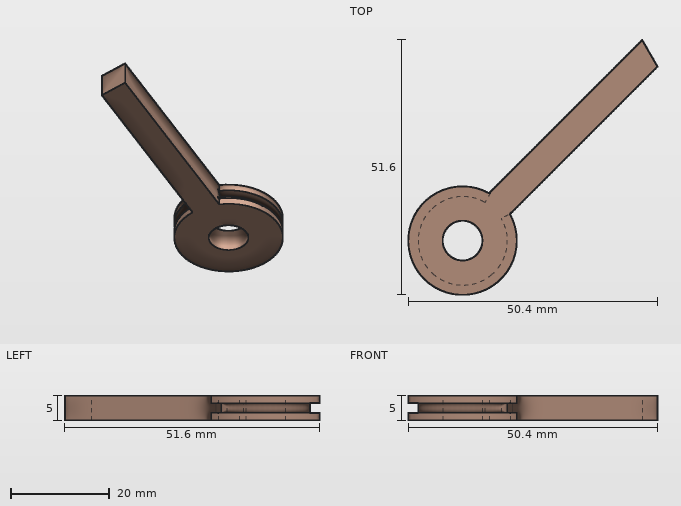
import cadquery as cq
import math

thickness = 5.0
hub_radius = 11.0
bore_diameter = 8.0

groove_width = 2.0
groove_floor_radius = 9.0
groove_outer_radius = 12.0
groove_gap_angle = 30.0

arm_width = 6.0
arm_length = 53.58
arm_angle = 45.0
tip_slant = 15.0


def make_hub():
    return cq.Workplane("XY").circle(hub_radius).extrude(thickness)


def make_arm():
    """Bar from the hub axis outwards, with its far end cut at a slant."""
    half_width = arm_width / 2
    tip_offset = half_width * math.tan(math.radians(tip_slant))
    bar = (
        cq.Workplane("XY")
        .moveTo(0, -half_width)
        .lineTo(arm_length - tip_offset, -half_width)
        .lineTo(arm_length + tip_offset, half_width)
        .lineTo(0, half_width)
        .close()
        .extrude(thickness)
    )
    return bar.rotate((0, 0, 0), (0, 0, 1), arm_angle)


def make_groove():
    """Ring removed at mid thickness, ending at two radial walls either side of the arm."""
    depth = groove_outer_radius - groove_floor_radius
    sweep = 360 - groove_gap_angle
    profile = (
        cq.Workplane("XZ")
        .moveTo(groove_floor_radius + depth / 2, thickness / 2)
        .rect(depth, groove_width)
    )
    ring = profile.revolve(sweep, (0, 0), (0, 1))
    start_angle = arm_angle + groove_gap_angle / 2
    return ring.rotate((0, 0, 0), (0, 0, 1), start_angle)


def make_bore():
    return cq.Workplane("XY").circle(bore_diameter / 2).extrude(thickness)


result = make_hub().union(make_arm()).cut(make_groove()).cut(make_bore())